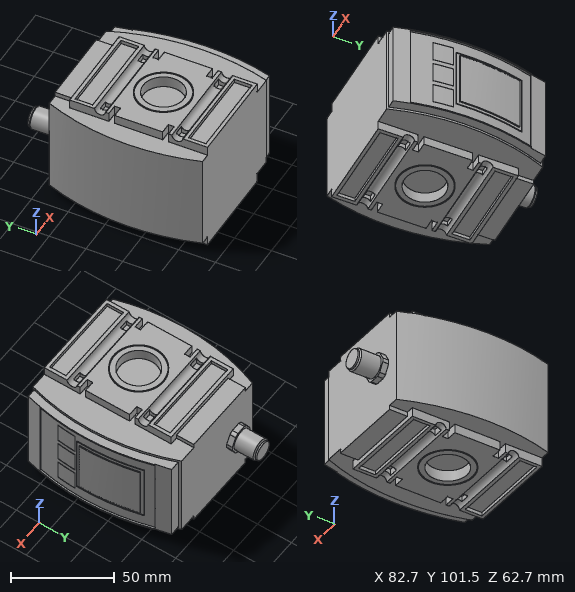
import cadquery as cq
import math


HOUSING_Z = 52.6
FRONT_Y = -37.5
BACK_Y = 47.8
BULGE_X = 2.1
BULGE_HALF_WIDTH = 39.0
BULGE_RADIUS = 127.4

PANEL_OVERLAP = 1.0
PANEL_THICKNESS = 4.7
PANEL_Z = 49.8
PANEL_FRONT_Y = -36.5
PANEL_BACK_Y = 46.3
RECESS_DEPTH = 1.0
RECESS_RIM = 0.7
RECESS_FRONT_Y = -28.2
RECESS_BACK_Y = 37.7
HEEL_STEP = 0.4
HEEL_BACK_X = 38.0
BUTTON_WIDTH = 11.5
BUTTON_PITCH = 14.1
BUTTON_HEIGHT = 0.1
BUTTON_FRONT_Y = -16.7
BUTTON_BACK_Y = -6.1
DISPLAY_FRONT_Y = -3.0
DISPLAY_BACK_Y = 30.5
DISPLAY_FRAME_Z = 34.4
DISPLAY_FRAME_HEIGHT = 0.4
DISPLAY_MARGIN = 1.7

OVERALL_Z = 62.7
PLATE_X = 52.0
PLATE_BACK_Y = 37.6
LEDGE_X = 43.1
LEDGE_Z = 57.4

POCKET_X = 48.0
POCKET_Y = 9.5
POCKET_CENTER_Y = 30.8
POCKET_DEPTH = 2.0
GROOVE_Y = 21.0
GROOVE_DIAMETER = 5.9
GROOVE_DEPTH = 2.7
SOCKET_X = 5.0
SOCKET_Y = 4.2
SOCKET_CENTER_X = 19.6
SOCKET_CENTER_Y = 20.6
NOTCH_LENGTH = 6.0
NOTCH_WIDTH = 3.1
NOTCH_CENTER_Y = 14.6
BORE_DIAMETER = 22.0
BORE_DEPTH = 6.2
RING_OUTER_DIAMETER = 29.0
RING_INNER_DIAMETER = 28.3
RING_DEPTH = 0.5

CONNECTOR_X = -13.3
NUT_FLATS = 14.0
NUT_CORNER_DIAMETER = 15.0
NUT_LENGTH = 3.3
SLEEVE_DIAMETER = 12.0
TIP_DIAMETER = 10.5
SLEEVE_LENGTH = 12.0
SLEEVE_BEVEL = 0.7
OVERALL_Y = 101.5
CONNECTOR_END_Y = FRONT_Y + OVERALL_Y

HOUSING_TOP = HOUSING_Z / 2
PLATE_TOP = OVERALL_Z / 2


def box(x_range, y_range, z_range):
    """Axis-aligned box given by its lower and upper limits."""
    size = [high - low for low, high in (x_range, y_range, z_range)]
    corner = (x_range[0], y_range[0], z_range[0])
    return cq.Workplane("XY").box(*size, centered=False).translate(corner)


def centered_box(x, y, size_x, size_y, z_range):
    """Box centred on (x, y) between two heights."""
    return box(
        (x - size_x / 2, x + size_x / 2),
        (y - size_y / 2, y + size_y / 2),
        z_range,
    )


def bulge(y, offset=0.0):
    """Half-width at y of the bulging side, moved outward by offset."""
    radius = BULGE_RADIUS + offset
    return BULGE_HALF_WIDTH + offset - radius + math.sqrt(radius**2 - y**2)


def curved_layer(inner, outer, y_range, height, z=0.0):
    """Curved layer on the +X side between two offsets from the bulging side."""
    front, back = y_range
    middle = (front + back) / 2
    return (
        cq.Workplane("XY", origin=(BULGE_X, 0, z - height / 2))
        .moveTo(bulge(front, outer), front)
        .threePointArc((bulge(middle, outer), middle), (bulge(back, outer), back))
        .lineTo(bulge(back, inner), back)
        .threePointArc((bulge(middle, inner), middle), (bulge(front, inner), front))
        .close()
        .extrude(height)
    )


def make_housing():
    return (
        cq.Workplane("XY", origin=(BULGE_X, 0, -HOUSING_TOP))
        .moveTo(-bulge(FRONT_Y), FRONT_Y)
        .lineTo(bulge(FRONT_Y), FRONT_Y)
        .threePointArc((bulge(0), 0), (bulge(BACK_Y), BACK_Y))
        .lineTo(-bulge(BACK_Y), BACK_Y)
        .threePointArc((-bulge(0), 0), (-bulge(FRONT_Y), FRONT_Y))
        .close()
        .extrude(HOUSING_Z)
    )


def make_panel_heel():
    """Back end of the panel, with a flat sloping outer face."""
    inner_x = BULGE_X - PANEL_OVERLAP
    return (
        cq.Workplane("XY", origin=(0, 0, -PANEL_Z / 2))
        .moveTo(inner_x + bulge(RECESS_BACK_Y), RECESS_BACK_Y)
        .lineTo(
            BULGE_X + bulge(RECESS_BACK_Y, PANEL_THICKNESS) - HEEL_STEP, RECESS_BACK_Y
        )
        .lineTo(HEEL_BACK_X, PANEL_BACK_Y)
        .lineTo(inner_x + bulge(PANEL_BACK_Y), PANEL_BACK_Y)
        .close()
        .extrude(PANEL_Z)
    )


def make_panel():
    """Curved panel with a flat heel and a recess holding three buttons and a display."""
    floor = PANEL_THICKNESS - RECESS_DEPTH
    panel_range = (PANEL_FRONT_Y, RECESS_BACK_Y)
    panel = curved_layer(-PANEL_OVERLAP, PANEL_THICKNESS, panel_range, PANEL_Z)
    recess = curved_layer(
        floor,
        PANEL_THICKNESS + PANEL_OVERLAP,
        (RECESS_FRONT_Y, RECESS_BACK_Y),
        PANEL_Z - 2 * RECESS_RIM,
    )
    panel = panel.cut(recess).union(make_panel_heel())

    for index in (-1, 0, 1):
        button = curved_layer(
            floor - PANEL_OVERLAP,
            floor + BUTTON_HEIGHT,
            (BUTTON_FRONT_Y, BUTTON_BACK_Y),
            BUTTON_WIDTH,
            index * BUTTON_PITCH,
        )
        panel = panel.union(button)

    frame = curved_layer(
        floor - PANEL_OVERLAP,
        floor + DISPLAY_FRAME_HEIGHT,
        (DISPLAY_FRONT_Y - DISPLAY_MARGIN, DISPLAY_BACK_Y + DISPLAY_MARGIN),
        DISPLAY_FRAME_Z,
    )
    display = curved_layer(
        floor - PANEL_OVERLAP,
        PANEL_THICKNESS,
        (DISPLAY_FRONT_Y, DISPLAY_BACK_Y),
        DISPLAY_FRAME_Z - 2 * DISPLAY_MARGIN,
    )
    return panel.union(frame).union(display)


def make_plates():
    """Connection plates and back ledges, running through the housing."""
    plates = box(
        (-PLATE_X / 2, PLATE_X / 2),
        (FRONT_Y, PLATE_BACK_Y),
        (-PLATE_TOP, PLATE_TOP),
    )
    ledges = box(
        (-LEDGE_X / 2, LEDGE_X / 2),
        (PLATE_BACK_Y, BACK_Y),
        (-LEDGE_Z / 2, LEDGE_Z / 2),
    )
    return plates.union(ledges)


def plate_end_cuts(side):
    """Pocket, groove, sockets and notches at one Y end of the top plate."""
    pocket = centered_box(
        0, side * POCKET_CENTER_Y, POCKET_X, POCKET_Y, (PLATE_TOP - POCKET_DEPTH, PLATE_TOP)
    )
    groove_axis_z = PLATE_TOP - GROOVE_DEPTH + GROOVE_DIAMETER / 2
    groove = (
        cq.Workplane("YZ", origin=(-PLATE_X / 2, 0, 0))
        .center(side * GROOVE_Y, groove_axis_z)
        .circle(GROOVE_DIAMETER / 2)
        .extrude(PLATE_X)
    )
    cuts = pocket.union(groove)
    for end in (-1, 1):
        socket = centered_box(
            end * SOCKET_CENTER_X,
            side * SOCKET_CENTER_Y,
            SOCKET_X,
            SOCKET_Y,
            (HOUSING_TOP, PLATE_TOP),
        )
        notch = centered_box(
            end * (PLATE_X - NOTCH_LENGTH) / 2,
            side * NOTCH_CENTER_Y,
            NOTCH_LENGTH,
            NOTCH_WIDTH,
            (HOUSING_TOP, PLATE_TOP),
        )
        cuts = cuts.union(socket).union(notch)
    return cuts


def port_cuts():
    """Blind bore and the narrow ring groove around it in the top plate."""
    bore = (
        cq.Workplane("XY", origin=(0, 0, PLATE_TOP))
        .circle(BORE_DIAMETER / 2)
        .extrude(-BORE_DEPTH)
    )
    ring = (
        cq.Workplane("XY", origin=(0, 0, PLATE_TOP))
        .circle(RING_OUTER_DIAMETER / 2)
        .circle(RING_INNER_DIAMETER / 2)
        .extrude(-RING_DEPTH)
    )
    return bore.union(ring)


def make_connector():
    """Hexagon nut with rounded corners, sleeve with a bevelled end, and tip."""
    back_plane = cq.Workplane("XZ", origin=(CONNECTOR_X, BACK_Y, 0))
    hexagon = back_plane.polygon(6, NUT_FLATS / math.cos(math.pi / 6)).extrude(-NUT_LENGTH)
    nut = back_plane.circle(NUT_CORNER_DIAMETER / 2).extrude(-NUT_LENGTH).intersect(hexagon)
    sleeve = (
        back_plane.circle(SLEEVE_DIAMETER / 2)
        .extrude(-(NUT_LENGTH + SLEEVE_LENGTH))
        .faces(">Y")
        .chamfer(SLEEVE_BEVEL)
    )
    tip = back_plane.circle(TIP_DIAMETER / 2).extrude(BACK_Y - CONNECTOR_END_Y)
    return nut.union(sleeve).union(tip)


top_cuts = port_cuts()
for side in (-1, 1):
    top_cuts = top_cuts.union(plate_end_cuts(side))

result = (
    make_housing()
    .union(make_plates())
    .cut(top_cuts)
    .cut(top_cuts.mirror("XY"))
    .union(make_panel())
    .union(make_connector())
)